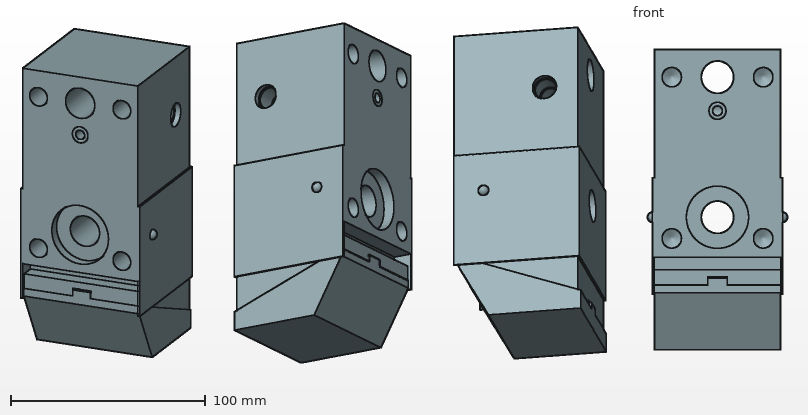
import cadquery as cq
import math


block_width = 65.0
block_depth = 65.0
total_height = 154.56
block_face_bottom = -107.0

cover_thickness = 1.0
cover_top = -66.0
cover_bottom = -126.0

foot_recess = 2.0
foot_top = -113.2
gap_depth = 10.0

joint_angle = math.radians(20)
joint_front_z = -121.0

key_width = 10.0
key_height = 3.3
slot_height = 4.15

jaw_recess = 1.5
jaw_overhang = 1.5
jaw_bottom_length = 48.4
jaw_front_bottom = -125.2

through_diameter = 16.5
upper_hole_z = -14.3
lower_hole_z = -86.3
counterbore_diameter = 32.0
counterbore_depth = 6.0
blind_diameter = 10.0
blind_depth = 25.0
blind_x = 23.5
lower_blind_z = -97.2
drill_point_angle = math.radians(118)

cross_bore_y = 47.5
cross_bore_z = -31.6
cross_bore_radius = 4.8
port_radius = 5.6
port_depth = 15.0
port_recess_radius = 6.25
port_recess_depth = 3.2
port_cone_depth = 0.5

ring_outer_radius = 4.4
ring_inner_radius = 2.5
ring_height = 0.44

button_y = 15.7
button_z = lower_hole_z
button_radius = 2.75
button_height = 2.53

cover_outer_x = block_width / 2 + cover_thickness
jaw_back = block_depth + jaw_overhang


def joint_z(y):
    """Z of the inclined joint at depth y."""
    return joint_front_z - (y - jaw_recess) * math.tan(joint_angle)


def side_prism(points, width):
    """Closed Y-Z outline extruded along X, centred on X = 0."""
    return cq.Workplane("YZ").polyline(points).close().extrude(width / 2, both=True)


def box_between(width, y_front, y_back, z_bottom, z_top):
    """Box centred on X = 0."""
    return (
        cq.Workplane("XY")
        .box(width, y_back - y_front, z_top - z_bottom, centered=(True, False, False))
        .translate((0, y_front, z_bottom))
    )


def front_hole(x, z, diameter, depth):
    """Cylinder starting at the front face and running into the block."""
    return (
        cq.Workplane("XZ", origin=(x, 0, z))
        .circle(diameter / 2)
        .extrude(-depth)
    )


def front_drilled_hole(x, z, diameter, depth):
    """Blind hole with a conical drill point; depth is that of the full diameter."""
    radius = diameter / 2
    point_depth = radius / math.tan(drill_point_angle / 2)
    return (
        cq.Workplane("XY")
        .polyline([(0, 0), (radius, 0), (radius, depth), (0, depth + point_depth)])
        .close()
        .revolve(360, (0, 0, 0), (0, 1, 0))
        .translate((x, 0, z))
    )


def key_section(height):
    """Key-wide strip standing on the inclined joint along the whole jaw depth."""
    back_z = joint_z(jaw_back)
    return side_prism(
        [
            (jaw_recess, joint_front_z),
            (jaw_back, back_z),
            (jaw_back, back_z + height),
            (jaw_recess, joint_front_z + height),
        ],
        key_width,
    )


def raised_ring():
    """Ring with a rounded crown, standing on the front face."""
    crown_radius = (ring_outer_radius + ring_inner_radius) / 2
    return (
        cq.Workplane("XY")
        .moveTo(ring_inner_radius, 0)
        .threePointArc((crown_radius, -ring_height), (ring_outer_radius, 0))
        .close()
        .revolve(360, (0, 0, 0), (0, 1, 0))
        .translate((0, 0, cross_bore_z))
    )


def side_button():
    """Dome on the +X face of the cover."""
    sphere_radius = (button_radius**2 + button_height**2) / (2 * button_height)
    sphere_x = button_height - sphere_radius
    arc_middle = (
        sphere_x + sphere_radius * math.sqrt(0.5),
        sphere_radius * math.sqrt(0.5),
    )
    return (
        cq.Workplane("XY")
        .moveTo(0, 0)
        .lineTo(0, button_radius)
        .threePointArc(arc_middle, (button_height, 0))
        .close()
        .revolve(360, (0, 0, 0), (1, 0, 0))
        .translate((cover_outer_x, button_y, button_z))
    )


def cross_bore():
    """Bore along X, opening at each end into a port with a recessed mouth."""
    mouth_x = block_width / 2
    recess_x = mouth_x - port_recess_depth
    cone_x = recess_x - port_cone_depth
    port_x = mouth_x - port_depth
    half = (
        cq.Workplane("XY")
        .polyline(
            [
                (0, 0),
                (0, cross_bore_radius),
                (port_x, cross_bore_radius),
                (port_x, port_radius),
                (cone_x, port_radius),
                (recess_x, port_recess_radius),
                (mouth_x, port_recess_radius),
                (mouth_x, 0),
            ]
        )
        .close()
        .revolve(360, (0, 0, 0), (1, 0, 0))
    )
    return half.union(half.mirror("YZ")).translate((0, cross_bore_y, cross_bore_z))


def make_holder():
    """Block with its cover, front holes, ring, buttons and slotted foot."""
    holder = side_prism(
        [
            (0, 0),
            (0, block_face_bottom),
            (gap_depth, block_face_bottom),
            (gap_depth, foot_top),
            (foot_recess, foot_top),
            (foot_recess, joint_z(foot_recess)),
            (block_depth, joint_z(block_depth)),
            (block_depth, 0),
        ],
        block_width,
    )

    cover_back = block_depth + cover_thickness
    cover = box_between(2 * cover_outer_x, 0, cover_back, cover_bottom, cover_top)
    cover_inside = box_between(block_width, 0, block_depth, cover_bottom, cover_top)
    holder = holder.union(cover.cut(cover_inside))

    holder = holder.cut(key_section(slot_height))

    for z in (upper_hole_z, lower_hole_z):
        holder = holder.cut(front_hole(0, z, through_diameter, block_depth + cover_thickness))
    holder = holder.cut(front_hole(0, lower_hole_z, counterbore_diameter, counterbore_depth))

    for x in (-blind_x, blind_x):
        for z in (upper_hole_z, lower_blind_z):
            holder = holder.cut(front_drilled_hole(x, z, blind_diameter, blind_depth))

    holder = holder.cut(cross_bore())
    holder = holder.cut(front_hole(0, cross_bore_z, 2 * ring_inner_radius, cross_bore_y))
    holder = holder.union(raised_ring())

    button = side_button()
    return holder.union(button).union(button.mirror("YZ"))


def make_jaw():
    """Wedge below the inclined joint, with the key on top."""
    jaw = side_prism(
        [
            (jaw_recess, joint_front_z),
            (jaw_recess, jaw_front_bottom),
            (jaw_back - jaw_bottom_length, -total_height),
            (jaw_back, -total_height),
            (jaw_back, joint_z(jaw_back)),
        ],
        block_width,
    )
    return jaw.union(key_section(key_height))


holder = make_holder()
jaw = make_jaw()

result = cq.Compound.makeCompound([holder.solids().val(), jaw.solids().val()])